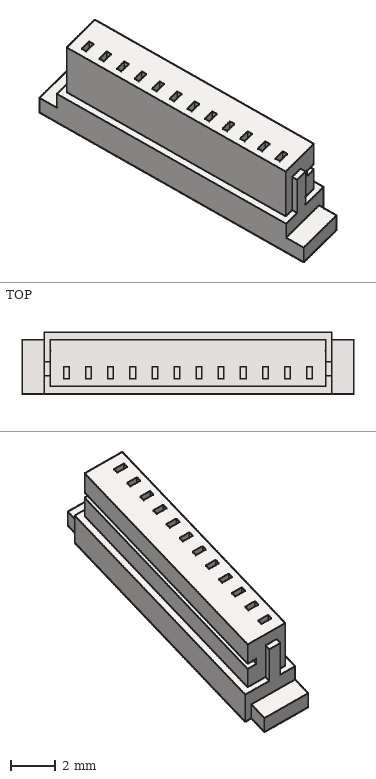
import cadquery as cq

overall_length = 15.0
overall_height = 5.0
base_length = 13.0
base_depth = 2.8
base_height = 1.95

ear_depth = 2.46
ear_height = 1.0

body_length = 12.44
body_inset = 0.35
body_depth = base_depth - 2 * body_inset
body_height = overall_height - base_height

tab_front = 0.82
tab_depth = 0.63
tab_top = 4.2

groove_depth = 0.5
groove_bottom = 3.25
groove_height = 0.36

slot_count = 12
slot_row_length = 11.0
slot_pitch = slot_row_length / (slot_count - 1)
slot_width = 0.25
slot_front = 0.69
slot_length = 0.55
slot_depth = body_height


def block(length, depth, height, front=0.0, bottom=0.0):
    """Box centred on X, with its front face and underside at the given places."""
    return (
        cq.Workplane("XY")
        .box(length, depth, height, centered=(True, False, False))
        .translate((0, front, bottom))
    )


def make_housing():
    """Base with its ears, end tabs and raised body."""
    base = block(base_length, base_depth, base_height)
    ears = block(overall_length, ear_depth, ear_height)
    tabs = block(base_length, tab_depth, tab_top - base_height, tab_front, base_height)
    body = block(body_length, body_depth, body_height, body_inset, base_height)
    groove_front = body_inset + body_depth - groove_depth
    groove = block(body_length, groove_depth, groove_height, groove_front, groove_bottom)
    return base.union(ears).union(tabs).union(body.cut(groove))


def make_terminal_slots():
    """Evenly spaced row of narrow slots open at the top of the body."""
    slot_centre = slot_front + slot_length / 2
    return (
        cq.Workplane("XY", origin=(0, slot_centre, overall_height))
        .rarray(slot_pitch, 0.15, slot_count, 1)
        .rect(slot_width, slot_length)
        .extrude(-slot_depth)
    )


result = make_housing().cut(make_terminal_slots())